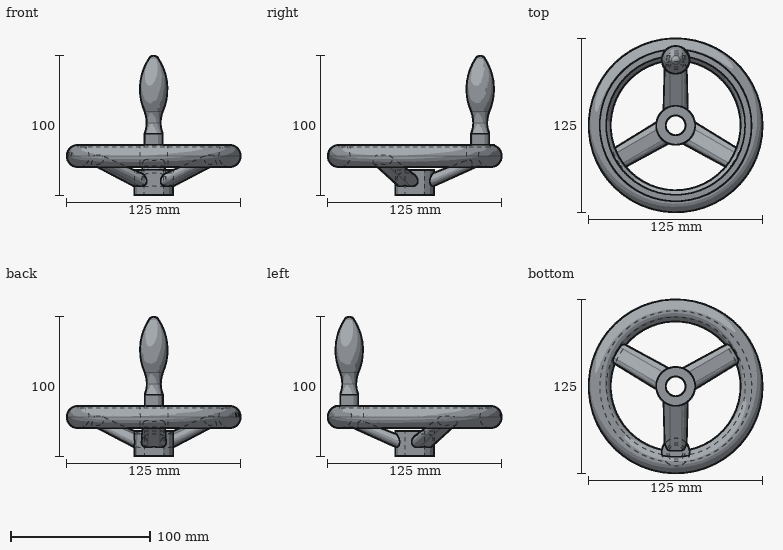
import cadquery as cq
import math

wheel_radius = 62.5
rim_section_radius = 8.0
rim_center_radius = wheel_radius - rim_section_radius
rim_bottom = 20.0
rim_center_height = rim_bottom + rim_section_radius
rim_top = rim_center_height + rim_section_radius
ledge_width = 4.6
ledge_height = rim_center_height + math.sqrt(rim_section_radius**2 - ledge_width**2)

hub_radius = 14.0
bore_radius = 7.0
hub_height = 18.0

spoke_count = 3
spoke_flat_width = 8.8
spoke_hub_thickness = 9.0
spoke_rim_thickness = 6.8
spoke_start_radius = 10.0
spoke_start_height = 9.6
spoke_end_radius = 52.0
spoke_end_height = 27.4

handle_offset = 47.0
boss_radius = 10.0
boss_height = 15.0
shank_radius = 6.6
shank_top = 44.1
neck_radius = 5.1
neck_height = 51.8
grip_start_radius = 6.6
grip_start_height = 60.0
grip_radius = 10.0
grip_middle_height = 76.2
tip_radius = 3.1
tip_start_height = 98.4
handle_top = 100.0


def make_rim():
    ring = (
        cq.Workplane("XZ")
        .center(rim_center_radius, rim_center_height)
        .circle(rim_section_radius)
        .revolve(360, (-rim_center_radius, 0, 0), (-rim_center_radius, 1, 0))
    )
    ledge_cut = (
        cq.Workplane("XY")
        .workplane(offset=ledge_height)
        .circle(rim_center_radius)
        .extrude(rim_section_radius)
    )
    return ring.cut(ledge_cut)


def make_spoke():
    """Loft one spoke along +Y between two rounded sections square to its axis."""
    run = spoke_end_radius - spoke_start_radius
    rise = spoke_end_height - spoke_start_height
    start_plane = cq.Plane(
        origin=(0, spoke_start_radius, spoke_start_height),
        xDir=(1, 0, 0),
        normal=(0, run, rise),
    )
    return (
        cq.Workplane(start_plane)
        .slot2D(spoke_flat_width + spoke_hub_thickness, spoke_hub_thickness)
        .workplane(offset=math.hypot(run, rise))
        .slot2D(spoke_flat_width + spoke_rim_thickness, spoke_rim_thickness)
        .loft(ruled=True)
    )


def make_boss():
    return (
        cq.Workplane("XY", origin=(0, handle_offset, rim_top - boss_height))
        .circle(boss_radius)
        .extrude(boss_height)
    )


def arc_from_vertical(start, end):
    """Return the middle point of the arc that leaves start vertically and reaches end."""
    across = end[0] - start[0]
    along = end[1] - start[1]
    radius = (across**2 + along**2) / (2 * across)
    half_angle = math.asin(along / radius) / 2
    return (
        start[0] + radius * (1 - math.cos(half_angle)),
        start[1] + radius * math.sin(half_angle),
    )


def make_handle():
    """Revolve the shank, waisted neck, barrel grip and domed tip."""
    shank_end = (shank_radius, shank_top)
    neck = (neck_radius, neck_height)
    grip_start = (grip_start_radius, grip_start_height)
    tip_start = (tip_radius, tip_start_height)
    tip = (0, handle_top)
    tip_height = handle_top - tip_start_height
    tip_sphere_radius = (tip_radius**2 + tip_height**2) / (2 * tip_height)
    tip_half_angle = math.asin(tip_radius / tip_sphere_radius) / 2
    tip_middle = (
        tip_sphere_radius * math.sin(tip_half_angle),
        handle_top - tip_sphere_radius * (1 - math.cos(tip_half_angle)),
    )
    return (
        cq.Workplane("XZ", origin=(0, handle_offset, 0))
        .moveTo(0, rim_center_height)
        .lineTo(shank_radius, rim_center_height)
        .lineTo(*shank_end)
        .threePointArc(arc_from_vertical(neck, shank_end), neck)
        .threePointArc(arc_from_vertical(neck, grip_start), grip_start)
        .threePointArc((grip_radius, grip_middle_height), tip_start)
        .threePointArc(tip_middle, tip)
        .close()
        .revolve(360, (0, 0, 0), (0, 1, 0))
    )


hub = cq.Workplane("XY").circle(hub_radius).extrude(hub_height)
bore = cq.Workplane("XY").circle(bore_radius).extrude(rim_top)

body = hub.union(make_rim())
spoke = make_spoke()
for index in range(spoke_count):
    spoke_angle = index * 360 / spoke_count
    body = body.union(spoke.rotate((0, 0, 0), (0, 0, 1), spoke_angle))

result = body.union(make_boss()).union(make_handle()).cut(bore)